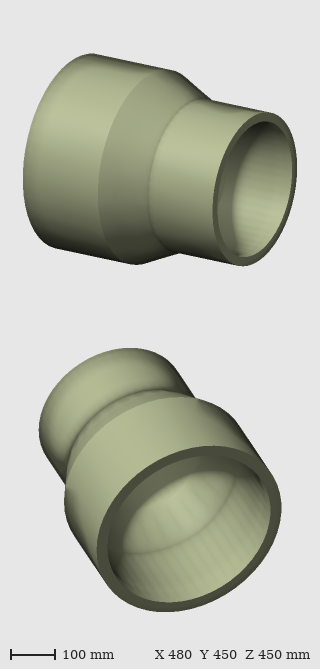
import cadquery as cq

total_length = 480.0
wide_length = 202.0
narrow_length = 172.0
wide_outer_diameter = 450.0
wide_bore_diameter = 396.6
narrow_outer_diameter = 355.0
narrow_bore_diameter = 312.8

cone_start = wide_length
cone_end = total_length - narrow_length


def stepped_body(wide_diameter, narrow_diameter):
    """Solid of revolution about X: wide cylinder, cone, narrow cylinder."""
    wide_radius = wide_diameter / 2
    narrow_radius = narrow_diameter / 2
    return (
        cq.Workplane("XY")
        .moveTo(0, 0)
        .lineTo(0, wide_radius)
        .lineTo(cone_start, wide_radius)
        .lineTo(cone_end, narrow_radius)
        .lineTo(total_length, narrow_radius)
        .lineTo(total_length, 0)
        .close()
        .revolve(360, (0, 0, 0), (1, 0, 0))
    )


outer_body = stepped_body(wide_outer_diameter, narrow_outer_diameter)
bore = stepped_body(wide_bore_diameter, narrow_bore_diameter)

result = outer_body.cut(bore)